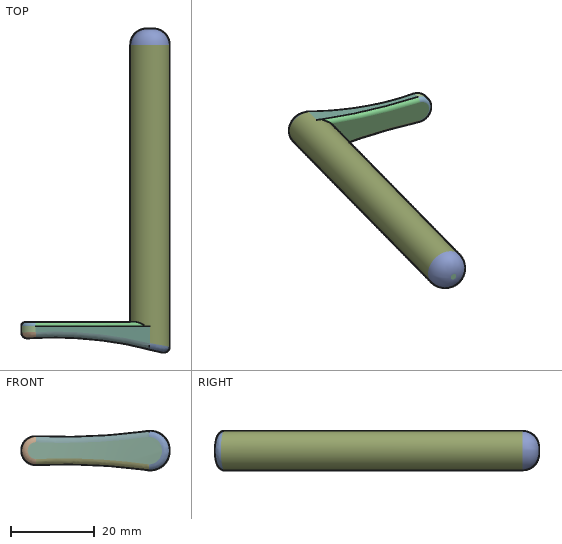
import cadquery as cq
import math

overall_length = 77.4
overall_width = 35.5
rod_diameter = 9.5
rod_end_fillet = 4.0

lever_depth_at_hub = 6.6
lever_depth_at_tip = 3.9
lever_bend_x = -18.4
lever_foot = 7.4
tip_radius = 3.5
waist_x = -15.5
waist_half_height = 3.4
front_fillet = 1.5
back_fillet = 1.0

rod_radius = rod_diameter / 2
rod_end_y = overall_length - lever_foot
tip_x = rod_radius - overall_width
tip_center_x = tip_x + tip_radius
blank_depth = 2 * lever_foot
rod_root_depth = back_fillet
front_selection_allowance = 0.2
margin = 0.8


def lever_outline():
    """Waisted outline with a round tip and a round hub, extruded toward -Y."""
    return (
        cq.Workplane("XZ")
        .moveTo(tip_center_x, tip_radius)
        .threePointArc((waist_x, waist_half_height), (0, rod_radius))
        .threePointArc((rod_radius, 0), (0, -rod_radius))
        .threePointArc((waist_x, -waist_half_height), (tip_center_x, -tip_radius))
        .threePointArc((tip_x, 0), (tip_center_x, tip_radius))
        .close()
        .extrude(blank_depth)
    )


def lever_side_profile():
    """Side shape: flat back, and one hollow arc deepening from the tip to the hub."""
    apex_x = (tip_center_x + lever_bend_x) / 2
    half_chord = lever_bend_x - apex_x
    drop = lever_depth_at_hub - lever_depth_at_tip
    center_below_tip_depth = (apex_x**2 - half_chord**2 + drop**2) / (2 * drop)
    arc_radius = math.hypot(half_chord, center_below_tip_depth)
    arc_center_y = -lever_depth_at_tip - center_below_tip_depth
    start_x = tip_x - margin
    end_x = rod_radius + margin

    def arc_point(x):
        return (x, arc_center_y + math.sqrt(arc_radius**2 - (x - apex_x) ** 2))

    return (
        cq.Workplane("XY")
        .moveTo(start_x, 0)
        .lineTo(*arc_point(start_x))
        .threePointArc(arc_point(lever_bend_x), arc_point(end_x))
        .lineTo(end_x, 0)
        .close()
        .extrude(rod_radius + margin, both=True)
    )


def make_lever():
    """Lever with its front and back rims rounded all the way round."""
    lever = lever_outline().intersect(lever_side_profile())
    lever = lever.faces(">Y").edges().fillet(back_fillet)
    front_box = cq.selectors.BoxSelector(
        (tip_x - margin, -blank_depth, -rod_diameter),
        (overall_width, -lever_depth_at_tip + front_selection_allowance, rod_diameter),
    )
    front_rim = lever.edges(front_box).edges("not(|Y or |Z)")
    return front_rim.fillet(front_fillet)


def make_rod():
    """Round rod with a rounded free end, rooted inside the lever."""
    return (
        cq.Workplane("XZ", origin=(0, -rod_root_depth, 0))
        .circle(rod_radius)
        .extrude(-(rod_end_y + rod_root_depth))
        .faces(">Y")
        .edges()
        .fillet(rod_end_fillet)
    )


result = make_lever().union(make_rod())